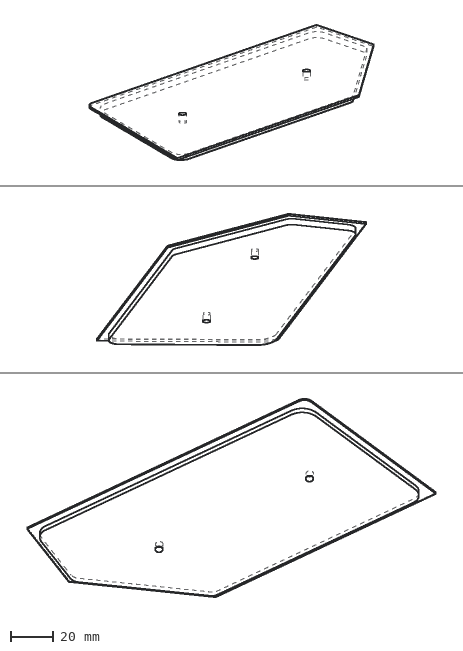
import math

import cadquery as cq

width = 82.0
length = 176.14
flange_thickness = 1.0
plug_thickness = 3.0

top_edge_length = 38.0
bevel_slope_degrees = 51.0
bottom_slope_degrees = 15.0
flange_corner_radius = 5.0

plug_inset = 3.0
plug_corner_radius = 5.0
plug_obtuse_corner_radius = 10.0

hole_diameter = 3.5
upper_hole_from_top = 48.0
hole_spacing = 83.2

left = -width / 2
right = width / 2
bottom = -length / 2
top = length / 2
bottom_rise = width * math.tan(math.radians(bottom_slope_degrees))
bevel_drop = (width - top_edge_length) * math.tan(math.radians(bevel_slope_degrees))
bottom_left_corner = (left, bottom + bottom_rise)
upper_hole_y = top - upper_hole_from_top
hole_places = [(0, upper_hole_y), (0, upper_hole_y - hole_spacing)]


def sharp_outline():
    """Closed five-sided outline of the flange before its corner is rounded."""
    return cq.Workplane("XY").polyline([
        bottom_left_corner,
        (right, bottom),
        (right, top - bevel_drop),
        (left + top_edge_length, top),
        (left, top),
    ]).close()


def bottom_left_edge(body):
    """Upright edge of a body nearest to the bottom left corner."""
    return body.edges("|Z").edges(cq.selectors.NearestToPointSelector((*bottom_left_corner, 0)))


def make_flange():
    """Thin cover plate, rounded only at the bottom left corner."""
    plate = sharp_outline().extrude(flange_thickness).translate((0, 0, plug_thickness))
    return bottom_left_edge(plate).fillet(flange_corner_radius)


def make_plug():
    """Inset block below the flange, with every upright corner rounded."""
    block = sharp_outline().offset2D(-plug_inset).extrude(plug_thickness)
    obtuse_edge = bottom_left_edge(block)
    other_edges = block.edges("|Z").filter(lambda edge: not edge.isSame(obtuse_edge.val()))
    block = other_edges.fillet(plug_corner_radius)
    return bottom_left_edge(block).fillet(plug_obtuse_corner_radius)


def make_holes():
    """Two screw holes through the full thickness."""
    return (cq.Workplane("XY").pushPoints(hole_places)
            .circle(hole_diameter / 2).extrude(plug_thickness + flange_thickness))


result = make_flange().union(make_plug()).cut(make_holes())